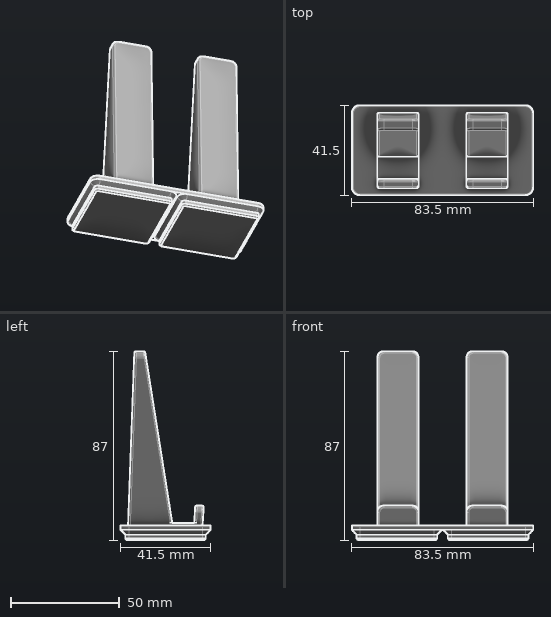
import cadquery as cq

CELL_PITCH = 42.0
CELL_SIZE = 41.5
CELL_COUNT = 2
CORNER_RADIUS = 3.75
FOOT_CHAMFER = 0.8
FOOT_WALL = 1.8
FOOT_FLARE = 2.15
BASE_TOP = 7.0
BASE_EDGE_RADIUS = 0.6

foot_height = FOOT_CHAMFER + FOOT_WALL + FOOT_FLARE
base_length = CELL_PITCH * (CELL_COUNT - 1) + CELL_SIZE

STAND_WIDTH = 19.0
STAND_SPACING = 41.0
TOTAL_HEIGHT = 87.0
FLOOR_TOP = 8.0
LIP_TOP = 16.0
STAND_CORNER_RADIUS = 3.0
STAND_EDGE_RADIUS = 1.0

REST_BACK_FOOT = 17.3
REST_BACK_TOP = 14.4
REST_FRONT_FOOT = -3.3
REST_FRONT_TOP = 9.4
LIP_BACK_FOOT = -13.1
LIP_BACK_TOP = -13.6
LIP_FRONT_FOOT = -17.1
LIP_FRONT_TOP = -17.7


def centred_offset(index, spacing):
    """X position of one member of a row spaced evenly about the origin."""
    return (index - (CELL_COUNT - 1) / 2) * spacing


def rounded_slab(size_x, size_y, height, radius):
    """Slab standing on the XY plane with rounded upright corners."""
    slab = cq.Workplane("XY").rect(size_x, size_y).extrude(height)
    return slab.edges("|Z").fillet(radius)


def make_foot(center_x):
    """One foot: chamfered bottom, upright wall, flare to the full cell size."""
    wall_size = CELL_SIZE - 2 * FOOT_FLARE
    wall_radius = CORNER_RADIUS - FOOT_FLARE
    lower = rounded_slab(wall_size, wall_size, foot_height, wall_radius)
    lower = lower.faces("<Z").edges().chamfer(FOOT_CHAMFER)
    flare_bottom = foot_height - FOOT_FLARE
    flare_height = BASE_TOP - BASE_EDGE_RADIUS - flare_bottom
    flare = rounded_slab(CELL_SIZE, CELL_SIZE, flare_height, CORNER_RADIUS)
    flare = flare.faces("<Z").edges().chamfer(FOOT_FLARE)
    flare = flare.translate((0, 0, flare_bottom))
    return lower.union(flare).translate((center_x, 0, 0))


def make_plate():
    """Plate that joins the feet."""
    plate = rounded_slab(base_length, CELL_SIZE, BASE_TOP - foot_height, CORNER_RADIUS)
    plate = plate.faces(">Z").edges().fillet(BASE_EDGE_RADIUS)
    return plate.translate((0, 0, foot_height))


def make_upright(back_foot, back_top, front_foot, front_top, top):
    """Tapered upright on the base, with rounded top corners and rounded face edges."""
    upright = (
        cq.Workplane("YZ")
        .moveTo(back_foot, BASE_TOP)
        .lineTo(back_top, top)
        .lineTo(front_top, top)
        .lineTo(front_foot, BASE_TOP)
        .close()
        .extrude(STAND_WIDTH / 2, both=True)
    )
    upright = upright.faces(">Z").edges("|Y").fillet(STAND_CORNER_RADIUS)
    return upright.faces("<Y or >Y").edges("not <Z").fillet(STAND_EDGE_RADIUS)


def make_stand(center_x):
    """Back rest and lip joined by the thin floor between them."""
    rest = make_upright(REST_BACK_FOOT, REST_BACK_TOP, REST_FRONT_FOOT, REST_FRONT_TOP, TOTAL_HEIGHT)
    lip = make_upright(LIP_BACK_FOOT, LIP_BACK_TOP, LIP_FRONT_FOOT, LIP_FRONT_TOP, LIP_TOP)
    floor_back = REST_FRONT_FOOT + 2 * STAND_EDGE_RADIUS
    floor_front = LIP_BACK_FOOT - 2 * STAND_EDGE_RADIUS
    floor_depth = floor_back - floor_front
    floor_thickness = FLOOR_TOP - BASE_TOP
    floor = cq.Workplane("XY").box(STAND_WIDTH, floor_depth, floor_thickness, centered=(True, False, False))
    floor = floor.translate((0, floor_front, BASE_TOP))
    return rest.union(lip).union(floor).translate((center_x, 0, 0))


result = make_plate()
for cell in range(CELL_COUNT):
    result = result.union(make_foot(centred_offset(cell, CELL_PITCH)))
    result = result.union(make_stand(centred_offset(cell, STAND_SPACING)))